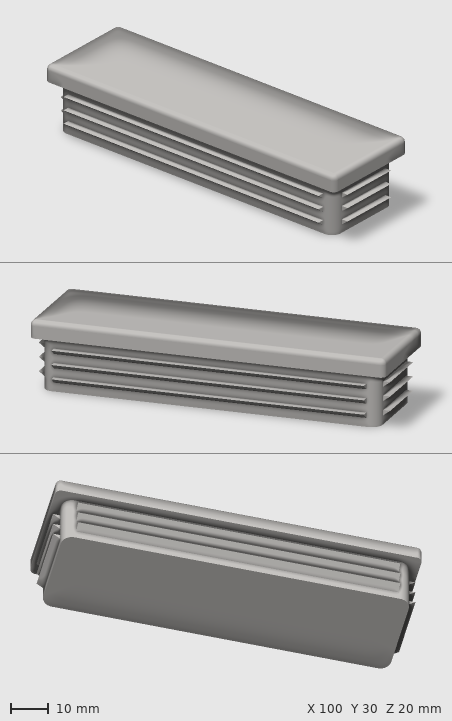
import cadquery as cq

cap_length = 100.0
cap_width = 30.0
cap_height = 5.0
cap_radius = 1.5

cap_overhang = 2.5
plug_length = cap_length - 2 * cap_overhang
plug_width = cap_width - 2 * cap_overhang
plug_height = 15.0
plug_radius = 3.0

fin_reach = 2.0
fin_height = 1.5
fin_pitch = 4.0
fin_count = 3
fin_end_gap = 0.5
long_fin_length = plug_length - 2 * (plug_radius + fin_end_gap)
short_fin_length = plug_width - 2 * (plug_radius + fin_end_gap)


def make_cap():
    cap = cq.Workplane("XY").workplane(offset=plug_height).box(
        cap_length, cap_width, cap_height, centered=(True, True, False)
    )
    return cap.edges("|Z or >Z").fillet(cap_radius)


def make_plug():
    plug = cq.Workplane("XY").box(
        plug_length, plug_width, plug_height, centered=(True, True, False)
    )
    return plug.edges("|Z").fillet(plug_radius)


def make_fin(wall_distance, length, top):
    """Triangular fin on the +X side of a wall lying wall_distance from the centre."""
    profile = [
        (wall_distance, top),
        (wall_distance + fin_reach, top),
        (wall_distance, top - fin_height),
    ]
    return cq.Workplane("XZ").polyline(profile).close().extrude(length / 2, both=True)


def turned(body, angle):
    return body.rotate((0, 0, 0), (0, 0, 1), angle)


result = make_cap().union(make_plug())

for level in range(1, fin_count + 1):
    fin_top = level * fin_pitch
    end_fin = make_fin(plug_length / 2, short_fin_length, fin_top)
    side_fin = make_fin(plug_width / 2, long_fin_length, fin_top)
    for angle in (0, 180):
        result = result.union(turned(end_fin, angle))
        result = result.union(turned(side_fin, angle + 90))